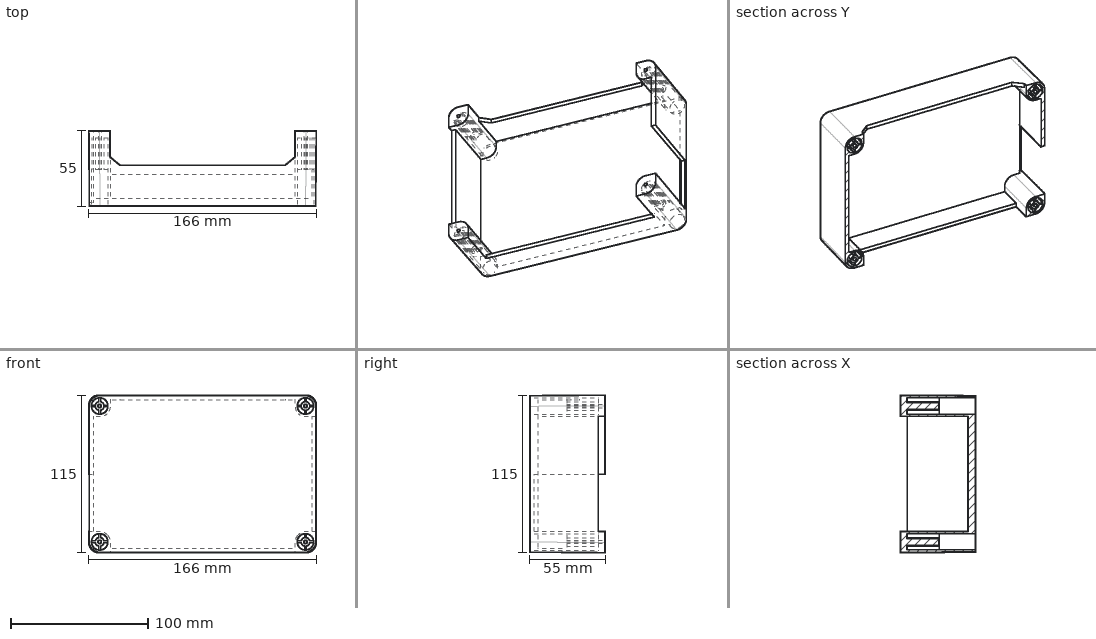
import cadquery as cq

length = 166.0
depth = 55.0
height = 115.0
draft_angle = 0.4
corner_radius = 7.6
floor_thickness = 5.6
wall_thickness = 3.3

post_size = 15.6
hole_inset = 8.0
post_radius = post_size - hole_inset
bore_diameter = 12.0
bore_cap = 5.0
hub_diameter = 6.3
pilot_diameter = 2.3
rib_width = 1.3
hub_length = 23.2

notch_floor = 29.9
notch_chamfer_length = 7.1
notch_chamfer_rise = 6.0
window_floor = 2.7
window_height = 41.7
low_wall_drop = 5.0
lower_wall_top = 23.2

half_length = length / 2
half_height = height / 2
corner_signs = [(sx, sz) for sx in (-1, 1) for sz in (-1, 1)]


def y_cylinder(diameter, start, size, x, z):
    """Cylinder along +Y that begins at y = start."""
    return cq.Workplane("XZ", origin=(x, start, z)).circle(diameter / 2).extrude(-size)


def y_box(size_x, size_y, size_z, x, start, z):
    """Box centred at (x, z) that begins at y = start."""
    return cq.Workplane("XZ", origin=(x, start, z)).rect(size_x, size_z).extrude(-size_y)


def make_outer_body():
    """Rounded block that narrows slightly from the open side to the plate."""
    block = (
        cq.Workplane("XZ", origin=(0, depth, 0))
        .rect(length, height)
        .extrude(depth, taper=draft_angle)
    )
    return block.edges("not(|X or |Z)").fillet(corner_radius)


def make_cavity():
    """Interior space, with the rounded corner posts left standing."""
    cavity_depth = depth - floor_thickness
    cavity = y_box(
        length - 2 * wall_thickness,
        cavity_depth,
        height - 2 * wall_thickness,
        0,
        floor_thickness,
        0,
    )
    for sx, sz in corner_signs:
        post = y_box(
            2 * post_size,
            cavity_depth,
            2 * post_size,
            sx * half_length,
            floor_thickness,
            sz * half_height,
        )
        cavity = cavity.cut(post.edges("|Y").fillet(post_radius))
    return cavity


def make_long_wall_notch():
    """Chamfered notch that passes through both long walls between the posts."""
    top_half = half_length - post_size
    bottom_half = top_half - notch_chamfer_length
    chamfer_top = notch_floor + notch_chamfer_rise
    return (
        cq.Workplane("XY")
        .polyline(
            [
                (-top_half, depth),
                (-top_half, chamfer_top),
                (-bottom_half, notch_floor),
                (bottom_half, notch_floor),
                (top_half, chamfer_top),
                (top_half, depth),
            ]
        )
        .close()
        .extrude(half_height, both=True)
    )


def make_lower_wall_cut():
    """Lowers the -Z wall further, with a straight edge between its posts."""
    return y_box(
        length - 2 * post_size,
        depth - lower_wall_top,
        2 * wall_thickness,
        0,
        lower_wall_top,
        -half_height,
    )


def make_window():
    """Opening in the -X wall, just above the lower post."""
    return y_box(
        2 * wall_thickness,
        depth - window_floor,
        window_height,
        -half_length,
        window_floor,
        -half_height + post_size + window_height / 2,
    )


def make_low_wall_cut():
    """Lowers the rim of the +X wall between its posts."""
    return y_box(
        2 * wall_thickness,
        low_wall_drop,
        height - 2 * post_size,
        half_length,
        depth - low_wall_drop,
        0,
    )


def make_screw_cut(x, z):
    """Blind bore holding a ribbed hub, with a pilot hole through the post."""
    bore_depth = depth - bore_cap
    hub_start = bore_depth - hub_length
    hub = y_cylinder(hub_diameter, hub_start, hub_length, x, z)
    hub = hub.union(y_box(bore_diameter, hub_length, rib_width, x, hub_start, z))
    hub = hub.union(y_box(rib_width, hub_length, bore_diameter, x, hub_start, z))
    bore = y_cylinder(bore_diameter, 0, bore_depth, x, z).cut(hub)
    return bore.union(y_cylinder(pilot_diameter, 0, depth, x, z))


result = make_outer_body()
result = result.cut(make_cavity())
result = result.cut(make_long_wall_notch())
result = result.cut(make_lower_wall_cut())
result = result.cut(make_window())
result = result.cut(make_low_wall_cut())
for sx, sz in corner_signs:
    hole_x = sx * (half_length - hole_inset)
    hole_z = sz * (half_height - hole_inset)
    result = result.cut(make_screw_cut(hole_x, hole_z))